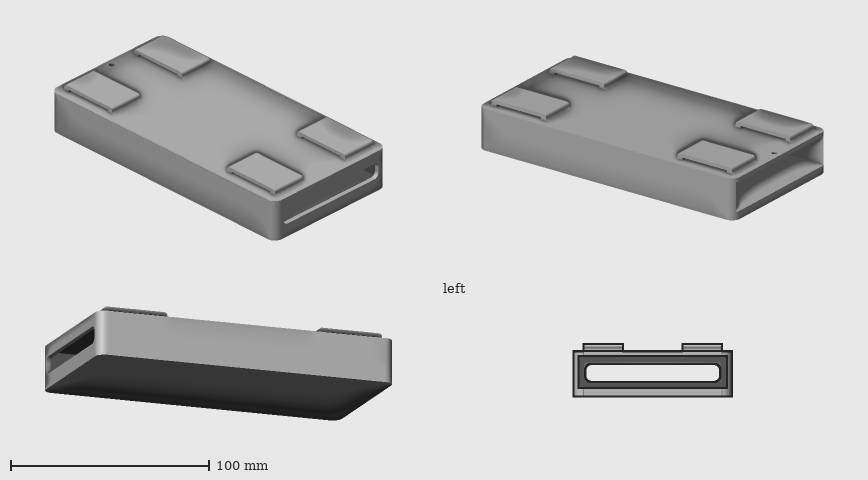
import cadquery as cq

LENGTH = 160.0
WIDTH = 80.0
BODY_HEIGHT = 23.0
CORNER_RADIUS = 5.0

WALL = 2.5
FLOOR = 4.5
CAVITY_HEIGHT = BODY_HEIGHT - FLOOR - WALL

WINDOW_WIDTH = 68.0
WINDOW_BOTTOM = 7.5
WINDOW_HEIGHT = 9.0
WINDOW_RADIUS = 3.0

PIN_DIAMETER = 3.0
PIN_INSET = 4.0

LOOP_LENGTH = 34.0
LOOP_WIDTH = 20.0
LOOP_HEIGHT = 3.6
LOOP_LEG = 3.0
LOOP_BAR = 2.0
LOOP_RADIUS = 1.5
LOOP_INSET = 5.0


def make_body():
    """Block with rounded vertical corners."""
    return (
        cq.Workplane("XY")
        .box(LENGTH, WIDTH, BODY_HEIGHT, centered=(True, True, False))
        .edges("|Z")
        .fillet(CORNER_RADIUS)
    )


def make_cavity():
    """Rectangular pocket running from the open end to the end wall."""
    return cq.Workplane("XY").box(
        LENGTH - WALL, WIDTH - 2 * WALL, CAVITY_HEIGHT, centered=(True, True, False)
    ).translate((-WALL / 2, 0, FLOOR))


def make_window():
    """Rounded slot crossing the end wall."""
    return (
        cq.Workplane("XY")
        .box(2 * WALL, WINDOW_WIDTH, WINDOW_HEIGHT, centered=(True, True, False))
        .edges("|X")
        .fillet(WINDOW_RADIUS)
        .translate((LENGTH / 2 - WALL / 2, 0, WINDOW_BOTTOM))
    )


def make_pin_hole():
    """Round hole from the cavity up through the roof."""
    return (
        cq.Workplane("XY", origin=(PIN_INSET - LENGTH / 2, 0, FLOOR + CAVITY_HEIGHT))
        .circle(PIN_DIAMETER / 2)
        .extrude(WALL)
    )


def make_loop(x_center, y_center):
    """Bridge along X with rounded shoulders and feet flared onto the roof."""
    half = LOOP_LENGTH / 2
    half_opening = half - LOOP_LEG
    opening_height = LOOP_HEIGHT - LOOP_BAR
    shoulder_z = LOOP_HEIGHT - LOOP_RADIUS
    return (
        cq.Workplane("XZ", origin=(x_center, y_center, BODY_HEIGHT))
        .moveTo(-half - LOOP_RADIUS, 0)
        .radiusArc((-half, LOOP_RADIUS), -LOOP_RADIUS)
        .lineTo(-half, shoulder_z)
        .radiusArc((-half + LOOP_RADIUS, LOOP_HEIGHT), LOOP_RADIUS)
        .lineTo(half - LOOP_RADIUS, LOOP_HEIGHT)
        .radiusArc((half, shoulder_z), LOOP_RADIUS)
        .lineTo(half, LOOP_RADIUS)
        .radiusArc((half + LOOP_RADIUS, 0), -LOOP_RADIUS)
        .lineTo(half_opening, 0)
        .lineTo(half_opening, opening_height)
        .lineTo(-half_opening, opening_height)
        .lineTo(-half_opening, 0)
        .close()
        .extrude(LOOP_WIDTH / 2, both=True)
    )


result = make_body().cut(make_cavity()).cut(make_window()).cut(make_pin_hole())

loop_x = LENGTH / 2 - LOOP_INSET - LOOP_LENGTH / 2
loop_y = WIDTH / 2 - LOOP_INSET - LOOP_WIDTH / 2
for x_side in (-1, 1):
    for y_side in (-1, 1):
        result = result.union(make_loop(x_side * loop_x, y_side * loop_y))